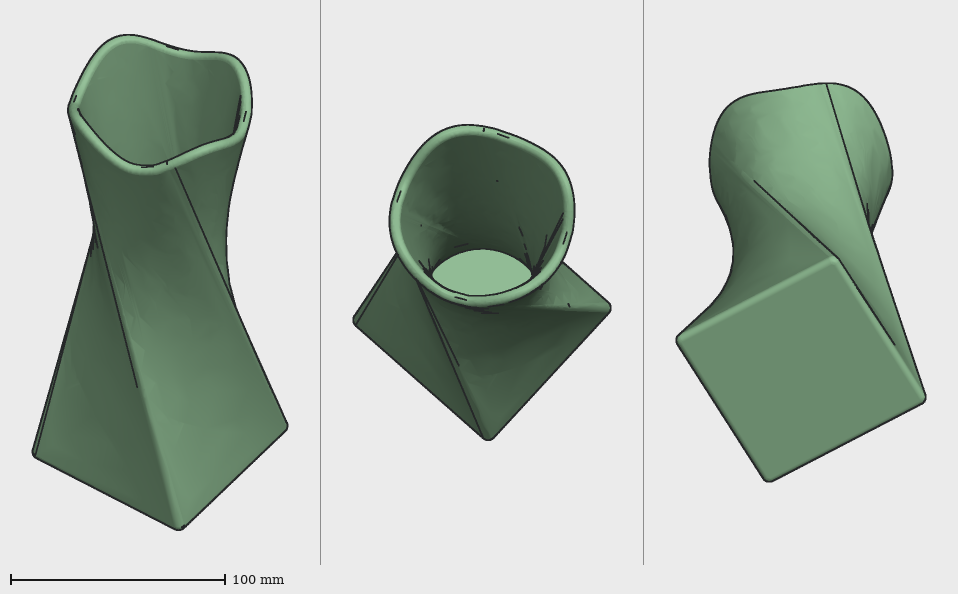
import cadquery as cq
import math

side_count = 4
wave_count = side_count
quarter_turn = 90

foot_half_width = 43.6
foot_corner_radius = 3.5
foot_turn = -0.8
foot_edge_radius = 2.8
foot_height = 3.5

height = 229.5
rim_radius = 43.8
rim_flare = 0.7
rim_twist = -93.0
rim_corner_span = 4.0
wave_height = 5.3
wave_middle = height - wave_height
wall_thickness = 5.5
lip_radius = 2.5

floor_radius = 30.8
floor_height = 4.5
cavity_twist = 92.0

corner_angle = 360 / side_count
rim_corner = corner_angle / 2 + rim_twist
spline_steps = 8


def polar(radius, degrees, z):
    """Point at a radius and angle about the Z axis."""
    angle = math.radians(degrees)
    return cq.Vector(radius * math.cos(angle), radius * math.sin(angle), z)


def rim_edge(radius, start, end):
    """Part of the wavy circle; its waves rise through the middle at the corner lines."""
    def point(degrees):
        wave = math.sin(math.radians(wave_count * (degrees - rim_corner)))
        return polar(radius + rim_flare * wave, degrees, wave_middle + wave_height * wave)

    def tangent(degrees):
        phase = math.radians(wave_count * (degrees - rim_corner))
        slope = wave_count * math.cos(phase)
        outward = polar(rim_flare * slope, degrees, wave_height * slope)
        around = polar(radius + rim_flare * math.sin(phase), degrees + quarter_turn, 0)
        return outward + around

    step = (end - start) / spline_steps
    points = [point(start + i * step) for i in range(spline_steps + 1)]
    return cq.Edge.makeSpline(points, tangents=[tangent(start), tangent(end)])


def circle_edge(radius, start, end, z):
    """Level arc about the Z axis."""
    middle = (start + end) / 2
    return cq.Edge.makeThreePointArc(polar(radius, start, z), polar(radius, middle, z), polar(radius, end, z))


def foot_edges(quarter):
    """One rounded corner of the foot and the straight side that follows it."""
    turn = foot_turn + quarter * corner_angle
    straight_half = foot_half_width - foot_corner_radius
    corner_mid = straight_half + foot_corner_radius * math.sqrt(0.5)

    def turned(x, y):
        return polar(math.hypot(x, y), math.degrees(math.atan2(y, x)) + turn, foot_height)

    corner_start = turned(foot_half_width, straight_half)
    corner_end = turned(straight_half, foot_half_width)
    side_end = turned(-straight_half, foot_half_width)
    corner = cq.Edge.makeThreePointArc(corner_start, turned(corner_mid, corner_mid), corner_end)
    return [corner, cq.Edge.makeLine(corner_end, side_end)]


def rim_spans(quarter):
    """Start and end angles of the rim above one corner and the side that follows it."""
    corner = rim_corner + quarter * corner_angle
    half_span = rim_corner_span / 2
    return [(corner - half_span, corner + half_span), (corner + half_span, corner + corner_angle - half_span)]


def make_vase():
    """Hollow body whose outer and inner walls are made of straight lines up to the rim."""
    faces = []
    foot_outline = []
    floor_outline = []
    for quarter in range(side_count):
        for foot, (start, end) in zip(foot_edges(quarter), rim_spans(quarter)):
            outer_rim = rim_edge(rim_radius, start, end)
            inner_rim = rim_edge(rim_radius - wall_thickness, start, end)
            floor = circle_edge(floor_radius, start - cavity_twist, end - cavity_twist, floor_height)
            faces.append(cq.Face.makeRuledSurface(foot, outer_rim))
            faces.append(cq.Face.makeRuledSurface(outer_rim, inner_rim))
            faces.append(cq.Face.makeRuledSurface(floor, inner_rim))
            foot_outline.append(foot)
            floor_outline.append(floor)
    faces.append(cq.Face.makeFromWires(cq.Wire.assembleEdges(foot_outline)))
    faces.append(cq.Face.makeFromWires(cq.Wire.assembleEdges(floor_outline)))
    return cq.Workplane(obj=cq.Solid.makeSolid(cq.Shell.makeShell(faces)))


def make_foot():
    """Flat square foot, rounded along its bottom edge."""
    outline = [edge for quarter in range(side_count) for edge in foot_edges(quarter)]
    face = cq.Face.makeFromWires(cq.Wire.assembleEdges(outline))
    block = cq.Solid.extrudeLinear(face, cq.Vector(0, 0, -foot_height))
    return cq.Workplane(obj=block).faces("<Z").edges().fillet(foot_edge_radius)


def is_rim_edge(edge):
    """True for the edges that run around the rim, not for those that climb or cross the wall."""
    start = edge.startPoint()
    end = edge.endPoint()
    same_radius = abs(math.hypot(start.x, start.y) - math.hypot(end.x, end.y)) < lip_radius / 2
    return same_radius and min(start.z, end.z) > wave_middle - 2 * wave_height


vase = make_vase()
rim_edges = [edge for edge in vase.edges().vals() if is_rim_edge(edge)]
vase = vase.newObject(rim_edges).fillet(lip_radius)
result = cq.Workplane(obj=vase.union(make_foot()).solids().val())